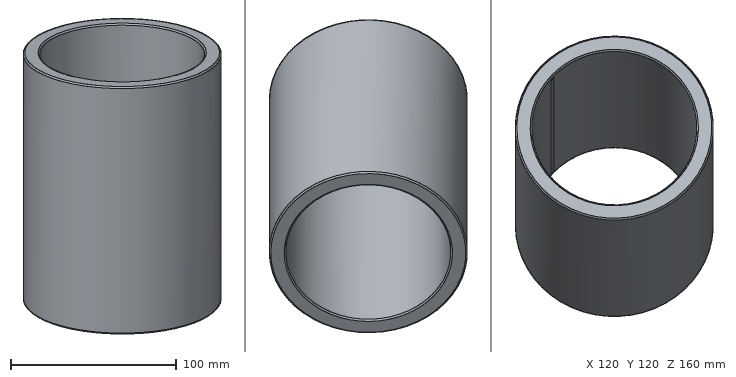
import cadquery as cq

height = 160.0
outer_diameter = 120.0
bore_diameter = 100.0
edge_chamfer = 1.0

groove_radius = 1.3
groove_end_margin = 4.5

bore_radius = bore_diameter / 2

sleeve = (
    cq.Workplane("XY")
    .circle(outer_diameter / 2)
    .circle(bore_radius)
    .extrude(height)
)

sleeve = sleeve.faces("<Z or >Z").edges().chamfer(edge_chamfer)

groove = (
    cq.Workplane("XY", origin=(bore_radius, 0, groove_end_margin))
    .circle(groove_radius)
    .extrude(height - 2 * groove_end_margin)
)

result = sleeve.cut(groove)